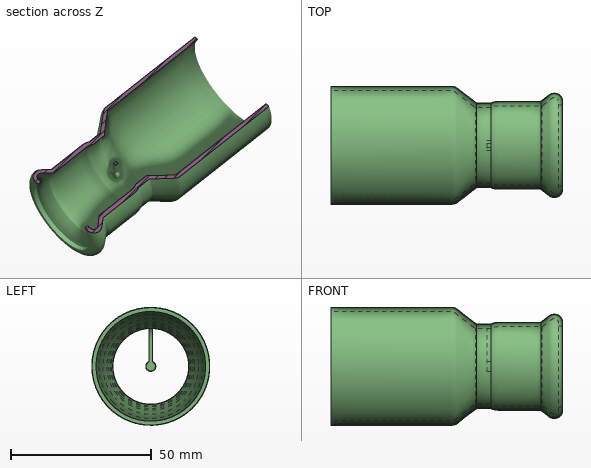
import cadquery as cq
import math

LENGTH = 82.5

PIPE_RADIUS = 42.0 / 2
PIPE_BORE_RADIUS = 39.0 / 2
PIPE_WALL = PIPE_RADIUS - PIPE_BORE_RADIUS
PIPE_LENGTH = 43.1

TAPER_ANGLE = math.radians(37.5)
SHOULDER_RADIUS = 3.0

NECK_RADIUS = 30.0 / 2
NECK_BORE_RADIUS = 27.0 / 2
NECK_END = 56.9

SOCKET_RADIUS = 31.3 / 2
SOCKET_BORE_RADIUS = 28.2 / 2
SOCKET_WALL = SOCKET_RADIUS - SOCKET_BORE_RADIUS
SOCKET_START = 59.5

BEAD_RADIUS = 37.1 / 2
BEAD_SECTION_RADIUS = 3.0
BEAD_CENTER_X = LENGTH - BEAD_SECTION_RADIUS
BEAD_CENTER_R = BEAD_RADIUS - BEAD_SECTION_RADIUS
MOUTH_RADIUS = 28.8 / 2

DISC_DIAMETER = 3.55
STEM_WIDTH = 1.3
INDICATOR_THICKNESS = STEM_WIDTH
INDICATOR_START = NECK_END - INDICATOR_THICKNESS


def arc_point(center, radius, angle):
    """Point on a circle in the (x, r) plane; the angle leans from +r toward +x."""
    return (center[0] + radius * math.sin(angle), center[1] + radius * math.cos(angle))


def revolved_skin(pipe_r, shoulder_r, neck_r, socket_r, bead_section_r):
    """Solid of revolution inside one surface of the wall, from x = 0 to the bead."""
    shoulder_center = (PIPE_LENGTH, PIPE_RADIUS - SHOULDER_RADIUS)
    shoulder_mid = arc_point(shoulder_center, shoulder_r, TAPER_ANGLE / 2)
    cone_start = arc_point(shoulder_center, shoulder_r, TAPER_ANGLE)
    cone_end_x = cone_start[0] + (cone_start[1] - neck_r) / math.tan(TAPER_ANGLE)

    bead_center = (BEAD_CENTER_X, BEAD_CENTER_R)
    flare_end = arc_point(bead_center, bead_section_r, -TAPER_ANGLE)
    flare_start_x = flare_end[0] - (flare_end[1] - socket_r) / math.tan(TAPER_ANGLE)
    bead_end_x = BEAD_CENTER_X + bead_section_r

    step_length = SOCKET_START - NECK_END
    step_height = socket_r - neck_r
    step_radius = (step_length**2 + step_height**2) / (2 * step_height)
    step_center = (SOCKET_START, socket_r - step_radius)
    step_mid = arc_point(step_center, step_radius, -math.asin(step_length / step_radius) / 2)

    return (
        cq.Workplane("XY")
        .moveTo(0, 0)
        .lineTo(0, pipe_r)
        .lineTo(PIPE_LENGTH, pipe_r)
        .threePointArc(shoulder_mid, cone_start)
        .lineTo(cone_end_x, neck_r)
        .lineTo(NECK_END, neck_r)
        .threePointArc(step_mid, (SOCKET_START, socket_r))
        .lineTo(flare_start_x, socket_r)
        .lineTo(*flare_end)
        .threePointArc(arc_point(bead_center, bead_section_r, math.pi / 4), (bead_end_x, BEAD_CENTER_R))
        .lineTo(bead_end_x, 0)
        .close()
        .revolve(360, (0, 0, 0), (1, 0, 0))
    )


def make_fitting():
    """Reducing fitting: the outer skin less the inner skin and the mouth opening."""
    outside = revolved_skin(PIPE_RADIUS, SHOULDER_RADIUS, NECK_RADIUS, SOCKET_RADIUS, BEAD_SECTION_RADIUS)
    inside = revolved_skin(
        PIPE_BORE_RADIUS,
        SHOULDER_RADIUS - PIPE_WALL,
        NECK_BORE_RADIUS,
        SOCKET_BORE_RADIUS,
        BEAD_SECTION_RADIUS - SOCKET_WALL,
    )
    mouth = cq.Workplane("YZ", origin=(BEAD_CENTER_X, 0, 0)).circle(MOUTH_RADIUS).extrude(BEAD_SECTION_RADIUS)
    return outside.cut(inside).cut(mouth)


def make_indicator():
    """Disc and stem, with the stem end trimmed to the curve of the neck bore."""
    plane = cq.Workplane("YZ", origin=(INDICATOR_START, 0, 0))
    disc = plane.circle(DISC_DIAMETER / 2).extrude(INDICATOR_THICKNESS)
    stem = (
        plane.center(0, NECK_BORE_RADIUS / 2)
        .rect(STEM_WIDTH, NECK_BORE_RADIUS)
        .extrude(INDICATOR_THICKNESS)
    )
    bore = plane.circle(NECK_BORE_RADIUS).extrude(INDICATOR_THICKNESS)
    return disc.union(stem).intersect(bore)


fitting = make_fitting()
indicator = make_indicator()

result = cq.Compound.makeCompound([fitting.val(), indicator.val()])